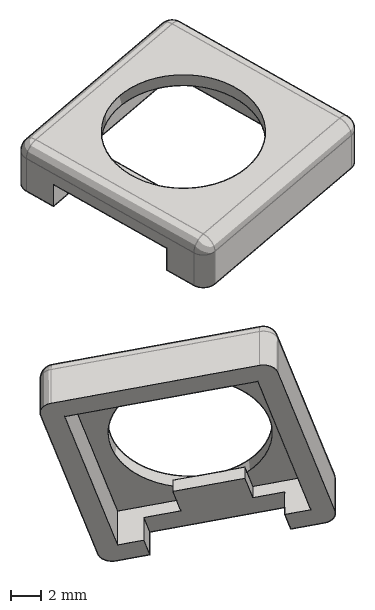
import cadquery as cq

side = 16.3
height = 4.0
edge_radius = 1.0

plate_thickness = 1.0
wall = 1.52
cavity_side = side - 2 * wall
cavity_height = height - plate_thickness

window_diameter = 10.87
window_x = -0.07
window_y = -0.37

notch_width = 9.68
notch_height = 2.0

tab_width = 4.95
tab_x = -0.18
tab_end_y = -4.63


def make_shell():
    """Rounded cover with a square cavity open at the bottom."""
    body = cq.Workplane("XY").box(side, side, height, centered=(True, True, False))
    body = body.edges("|Z or >Z").fillet(edge_radius)
    cavity = cq.Workplane("XY").box(
        cavity_side, cavity_side, cavity_height, centered=(True, True, False)
    )
    return body.cut(cavity)


def make_window():
    return (
        cq.Workplane("XY")
        .center(window_x, window_y)
        .circle(window_diameter / 2)
        .extrude(height)
    )


def make_notch():
    """Cutter that passes through the front wall only."""
    return (
        cq.Workplane("XY")
        .box(notch_width, wall, notch_height, centered=(True, False, False))
        .translate((0, -side / 2, 0))
    )


def make_tab():
    """Tab that starts in the middle of the front wall and reaches into the window."""
    root_y = (wall - side) / 2
    return (
        cq.Workplane("XY")
        .box(
            tab_width,
            tab_end_y - root_y,
            cavity_height - notch_height,
            centered=(True, False, False),
        )
        .translate((tab_x, root_y, notch_height))
    )


result = make_shell().cut(make_window()).cut(make_notch()).union(make_tab())